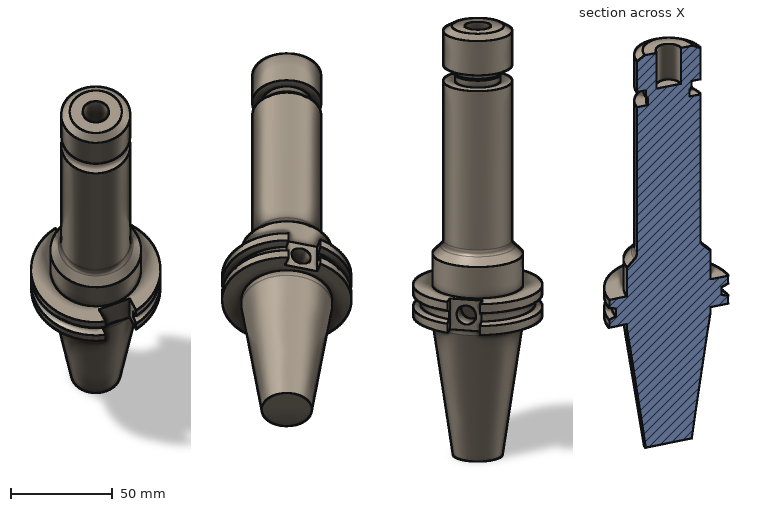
import cadquery as cq
import math

total_length = 220.6

taper_length = 68.2
gauge_radius = 22.3
taper_end_radius = gauge_radius - taper_length * 7 / 24 / 2

flange_bottom = 71.5
flange_top = 87.4
flange_radius = 31.8
flange_middle = (flange_bottom + flange_top) / 2
groove_floor_radius = 28.2
groove_floor_width = 4.2
groove_mouth_width = 6.6

shaft_radius = 17.0
shaft_top = 192.5
collar_top = 103.5
shoulder_fillet = 4.5
fillet_start_radius = shaft_radius + shoulder_fillet * (1 - math.cos(math.radians(45)))
fillet_start_z = collar_top + gauge_radius - fillet_start_radius
fillet_end_z = fillet_start_z + shoulder_fillet * math.sin(math.radians(45))

neck_radius = 11.3
neck_top = 196.0
ring_radius = 12.4
ring_bottom = 197.3
nut_bottom = 200.5
nut_face_radius = 12.8
nut_chamfer_height = 2.5
bore_radius = 6.5
bore_depth = total_length - nut_bottom

slot_width = 16.3
slot_floor_left = -25.0
slot_floor_right = 22.7
dimple_radius = 4.9
dimple_depth = 10.0


def turned_body():
    """Solid of revolution about Z, from a half profile of (radius, z) points."""
    profile = (
        cq.Workplane("XZ")
        .moveTo(0, 0)
        .lineTo(taper_end_radius, 0)
        .lineTo(gauge_radius, taper_length)
        .lineTo(gauge_radius, flange_bottom)
        .lineTo(flange_radius, flange_bottom)
        .lineTo(flange_radius, flange_middle - groove_mouth_width / 2)
        .lineTo(groove_floor_radius, flange_middle - groove_floor_width / 2)
        .lineTo(groove_floor_radius, flange_middle + groove_floor_width / 2)
        .lineTo(flange_radius, flange_middle + groove_mouth_width / 2)
        .lineTo(flange_radius, flange_top)
        .lineTo(gauge_radius, flange_top)
        .lineTo(gauge_radius, collar_top)
        .lineTo(fillet_start_radius, fillet_start_z)
        .radiusArc((shaft_radius, fillet_end_z), shoulder_fillet)
        .lineTo(shaft_radius, shaft_top)
        .lineTo(neck_radius, shaft_top)
        .lineTo(neck_radius, neck_top)
        .lineTo(ring_radius, ring_bottom)
        .lineTo(ring_radius, nut_bottom)
        .lineTo(shaft_radius, nut_bottom)
        .lineTo(shaft_radius, total_length - nut_chamfer_height)
        .lineTo(nut_face_radius, total_length)
        .lineTo(0, total_length)
        .close()
    )
    return profile.revolve(360, (0, 0, 0), (0, 1, 0))


def drive_slot(floor_x):
    """Cutter running outward from the slot floor, through the flange thickness."""
    outer_x = math.copysign(flange_radius, floor_x)
    return cq.Workplane("XY").box(
        abs(outer_x - floor_x), slot_width, flange_top - flange_bottom
    ).translate(((outer_x + floor_x) / 2, 0, flange_middle))


def dimple():
    """Cutter for the blind hole in the floor of the -X slot."""
    return (
        cq.Workplane("YZ", origin=(slot_floor_left, 0, flange_middle))
        .circle(dimple_radius)
        .extrude(dimple_depth)
    )


def bore():
    """Cutter for the blind bore in the nut face."""
    return (
        cq.Workplane("XY", origin=(0, 0, total_length - bore_depth))
        .circle(bore_radius)
        .extrude(bore_depth)
    )


result = turned_body().cut(bore()).cut(dimple())
for slot_floor in (slot_floor_left, slot_floor_right):
    result = result.cut(drive_slot(slot_floor))